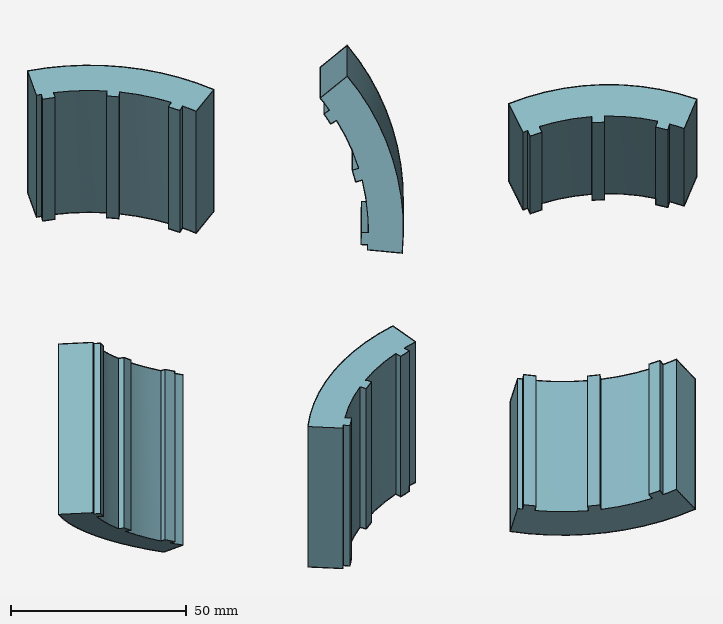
import cadquery as cq
import math

height = 50.0
outer_radius = 70.0
wall_thickness = 10.0
inner_radius = outer_radius - wall_thickness
start_angle = -39.0
end_angle = 6.0

rib_width = 3.6
rib_height = 1.95
rib_root = 1.05
first_rib_angle = 0.1
rib_spacing = 18.0
rib_count = 3


def polar_point(radius, angle):
    """Point at a radius and an angle from +Y towards +X."""
    turn = math.radians(angle)
    return radius * math.sin(turn), radius * math.cos(turn)


def make_wall():
    middle_angle = (start_angle + end_angle) / 2
    return (
        cq.Workplane("XY")
        .moveTo(*polar_point(outer_radius, start_angle))
        .threePointArc(polar_point(outer_radius, middle_angle), polar_point(outer_radius, end_angle))
        .lineTo(*polar_point(inner_radius, end_angle))
        .threePointArc(polar_point(inner_radius, middle_angle), polar_point(inner_radius, start_angle))
        .close()
        .extrude(height)
    )


def make_rib(angle):
    depth = rib_height + rib_root
    center_radius = inner_radius + rib_root - depth / 2
    return (
        cq.Workplane("XY")
        .center(0, center_radius)
        .rect(rib_width, depth)
        .extrude(height)
        .rotate((0, 0, 0), (0, 0, 1), -angle)
    )


result = make_wall()
for index in range(rib_count):
    result = result.union(make_rib(first_rib_angle - index * rib_spacing))